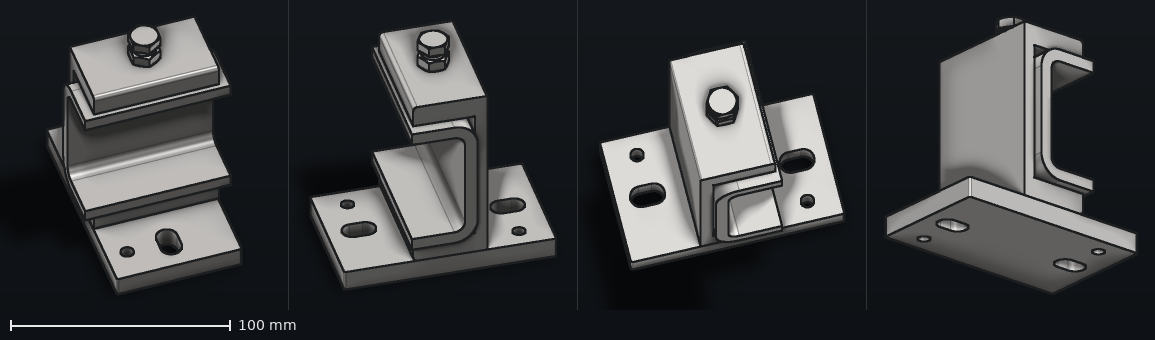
import cadquery as cq
import math

PLATE_LENGTH = 100.0
PLATE_WIDTH = 60.0
PLATE_THICKNESS = 10.0
PLATE_CORNER_RADIUS = 1.0
HOLE_OFFSET_X = 35.0
HOLE_OFFSET_Y = 20.0
PIN_HOLE_DIAMETER = 6.0
SLOT_LENGTH = 16.0
SLOT_WIDTH = 10.0

CLAMP_DEPTH = 35.0
CLAMP_WALL = 6.0
CLAMP_FLANGE = 10.4
CLAMP_OPENING = 65.8
CLAMP_BACK_RADIUS = 0.7
CLAMP_FRONT_RADIUS = 2.0

CHANNEL_LENGTH = 70.0
CHANNEL_DEPTH = 31.0
CHANNEL_HEIGHT = 65.0
CHANNEL_THICKNESS = 6.0
CHANNEL_INNER_RADIUS = 5.0

TOTAL_HEIGHT = 110.8
HEX_ACROSS_FLATS = 13.0
HEAD_HEIGHT = 5.3
HEAD_CHAMFER_ANGLE = 20.0
HEAD_WASHER_HEIGHT = 0.4
NUT_HEIGHT = 6.5
NUT_CHAMFER_ANGLE = 30.0
BEARING_FACE_DIAMETER = 11.4
BOLT_DIAMETER = 7.3
BOLT_TIP_DIAMETER = 6.6

clamp_height = CLAMP_OPENING + 2 * CLAMP_FLANGE
clamp_back = -CLAMP_DEPTH / 2
clamp_top = PLATE_THICKNESS + clamp_height
opening_back = clamp_back + CLAMP_WALL
opening_bottom = PLATE_THICKNESS + CLAMP_FLANGE
opening_top = opening_bottom + CLAMP_OPENING
bolt_tip_z = opening_bottom + CHANNEL_HEIGHT
head_bottom = TOTAL_HEIGHT - HEAD_HEIGHT
hex_corner_radius = HEX_ACROSS_FLATS / math.sqrt(3)


def box_from(x, z, size_x, size_y, size_z):
    """Box starting at x and z, centred on Y = 0."""
    box = cq.Workplane("XY").box(size_x, size_y, size_z, centered=(False, True, False))
    return box.translate((x, 0, z))


def make_plate():
    plate = box_from(-PLATE_LENGTH / 2, 0, PLATE_LENGTH, PLATE_WIDTH, PLATE_THICKNESS)
    plate = plate.edges("|Z").fillet(PLATE_CORNER_RADIUS)
    slots = (
        cq.Workplane("XY")
        .pushPoints([(-HOLE_OFFSET_X, 0), (HOLE_OFFSET_X, 0)])
        .slot2D(SLOT_LENGTH, SLOT_WIDTH)
        .extrude(PLATE_THICKNESS)
    )
    pin_holes = (
        cq.Workplane("XY")
        .pushPoints([(-HOLE_OFFSET_X, HOLE_OFFSET_Y), (HOLE_OFFSET_X, -HOLE_OFFSET_Y)])
        .circle(PIN_HOLE_DIAMETER / 2)
        .extrude(PLATE_THICKNESS)
    )
    return plate.cut(slots).cut(pin_holes)


def make_clamp(bolt):
    clamp = box_from(clamp_back, PLATE_THICKNESS, CLAMP_DEPTH, PLATE_WIDTH, clamp_height)
    clamp = clamp.edges("|Y and <X").fillet(CLAMP_BACK_RADIUS)
    clamp = clamp.edges("|Y and >X").fillet(CLAMP_FRONT_RADIUS)
    opening = box_from(opening_back, opening_bottom, CLAMP_DEPTH, PLATE_WIDTH, CLAMP_OPENING)
    return clamp.cut(opening).cut(bolt)


def make_channel():
    channel = box_from(opening_back, opening_bottom, CHANNEL_DEPTH, CHANNEL_LENGTH, CHANNEL_HEIGHT)
    channel = channel.edges("|Y and <X").fillet(CHANNEL_INNER_RADIUS + CHANNEL_THICKNESS)
    hollow = box_from(
        opening_back + CHANNEL_THICKNESS,
        opening_bottom + CHANNEL_THICKNESS,
        CHANNEL_DEPTH,
        CHANNEL_LENGTH,
        CHANNEL_HEIGHT - 2 * CHANNEL_THICKNESS,
    )
    hollow = hollow.edges("|Y and <X").fillet(CHANNEL_INNER_RADIUS)
    return channel.cut(hollow)


def make_hexagon(bottom_z, height):
    """Hexagonal prism with two corners on the X axis."""
    prism = cq.Workplane("XY", origin=(0, 0, bottom_z))
    return prism.polygon(6, 2 * hex_corner_radius).extrude(height)


def chamfer_cone(end_z, face_diameter, angle, direction):
    """Solid of revolution that trims the hexagon end at end_z; direction (+1 or -1) points outward."""
    face_radius = face_diameter / 2
    drop = (hex_corner_radius - face_radius) * math.tan(math.radians(angle))
    inner_z = end_z - direction * NUT_HEIGHT
    profile = cq.Workplane("XZ").polyline([
        (0, end_z),
        (face_radius, end_z),
        (hex_corner_radius, end_z - direction * drop),
        (hex_corner_radius, inner_z),
        (0, inner_z),
    ])
    return profile.close().revolve(360, (0, 0, 0), (0, 1, 0))


def make_cylinder(bottom_z, top_z, diameter):
    return cq.Workplane("XY", origin=(0, 0, bottom_z)).circle(diameter / 2).extrude(top_z - bottom_z)


def make_bolt():
    tip = make_cylinder(bolt_tip_z, opening_top, BOLT_TIP_DIAMETER)
    shank = make_cylinder(opening_top, head_bottom, BOLT_DIAMETER)
    hexagon_bottom = head_bottom + HEAD_WASHER_HEIGHT
    washer_face = make_cylinder(head_bottom, hexagon_bottom, BEARING_FACE_DIAMETER)
    head = make_hexagon(hexagon_bottom, TOTAL_HEIGHT - hexagon_bottom)
    head = head.intersect(chamfer_cone(TOTAL_HEIGHT, HEX_ACROSS_FLATS, HEAD_CHAMFER_ANGLE, 1))
    return tip.union(shank).union(washer_face).union(head)


def make_nut(bolt):
    nut = make_hexagon(clamp_top, NUT_HEIGHT)
    for end_z, direction in [(clamp_top, -1), (clamp_top + NUT_HEIGHT, 1)]:
        nut = nut.intersect(chamfer_cone(end_z, BEARING_FACE_DIAMETER, NUT_CHAMFER_ANGLE, direction))
    return nut.cut(bolt)


plate = make_plate()
bolt = make_bolt()
clamp = make_clamp(bolt)
channel = make_channel()
nut = make_nut(bolt)

result = cq.Compound.makeCompound([
    plate.val(),
    clamp.val(),
    channel.val(),
    bolt.val(),
    nut.val(),
])